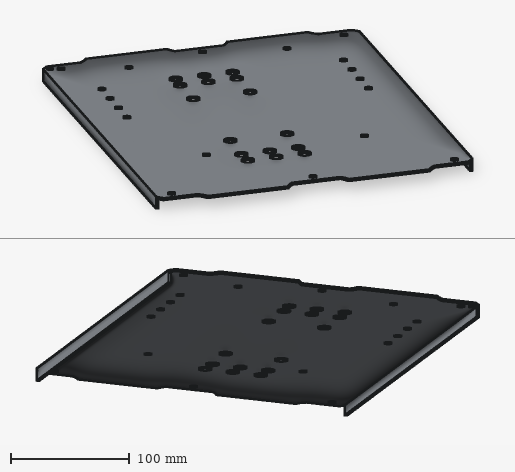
import cadquery as cq

LENGTH = 330.0
WIDTH = 280.0
HEIGHT = 11.0
SHEET_THICKNESS = 2.0

NECK_LENGTH = 316.5
CORNER_CHAMFER = 5.0
TAB_OUTER_Y = 98.0
TAB_INNER_Y = 26.7
OUTER_STEP_RUN = 7.3
INNER_STEP_RUN = 5.3
STEP_RADIUS = 19.8

FLANGE_LENGTH = NECK_LENGTH - 2 * CORNER_CHAMFER

SCREW_DIAMETER = 6.0
EDGE_HOLE_X = 149.8
EDGE_HOLE_Y = 125.0
MOUNT_LEFT_X = -135.0
MOUNT_RIGHT_X = 75.0
MOUNT_Y = 70.0
ROW_FIRST_X = -95.0
ROW_LENGTH = 67.5
ROW_COUNT = 4
ROW_PITCH = ROW_LENGTH / (ROW_COUNT - 1)
ROW_Y = 107.0

MARKER_DIAMETER = 5.0
MARKER_X = -152.0
MARKER_Y = -134.0

CABLE_DIAMETER = 10.5
CABLE_PITCH = 25.0
CABLE_ROWS = 3
OUTER_COLUMN_X = 97.7
MIDDLE_COLUMN_X = 83.0
INNER_COLUMN_X = 50.0
CABLE_TOP_Y = 9.5
MIDDLE_COLUMN_TOP_Y = 8.5


def make_plate():
    """Top sheet with its upper face at Z = 0 and hollow curved steps into the notches."""
    tab_x = LENGTH / 2
    neck_x = NECK_LENGTH / 2
    edge_y = WIDTH / 2
    outer_y = TAB_OUTER_Y + OUTER_STEP_RUN
    inner_y = TAB_INNER_Y - INNER_STEP_RUN
    chamfer_x = neck_x - CORNER_CHAMFER
    chamfer_y = edge_y - CORNER_CHAMFER
    outline = (
        cq.Workplane("XY")
        .moveTo(chamfer_x, edge_y)
        .lineTo(neck_x, chamfer_y)
        .lineTo(neck_x, outer_y)
        .radiusArc((tab_x, TAB_OUTER_Y), -STEP_RADIUS)
        .lineTo(tab_x, TAB_INNER_Y)
        .radiusArc((neck_x, inner_y), -STEP_RADIUS)
        .lineTo(neck_x, -inner_y)
        .radiusArc((tab_x, -TAB_INNER_Y), -STEP_RADIUS)
        .lineTo(tab_x, -TAB_OUTER_Y)
        .radiusArc((neck_x, -outer_y), -STEP_RADIUS)
        .lineTo(neck_x, -chamfer_y)
        .lineTo(chamfer_x, -edge_y)
        .lineTo(0, -edge_y)
        .lineTo(0, edge_y)
        .close()
    )
    right_half = outline.extrude(-SHEET_THICKNESS)
    return right_half.union(right_half.mirror("YZ")).clean()


def make_flange(side):
    """Flange folded down along the +Y (side = 1) or -Y (side = -1) edge."""
    center_y = side * (WIDTH - SHEET_THICKNESS) / 2
    return (
        cq.Workplane("XY")
        .center(0, center_y)
        .rect(FLANGE_LENGTH, SHEET_THICKNESS)
        .extrude(-HEIGHT)
    )


def hole_cutters(points, diameter):
    return cq.Workplane("XY").pushPoints(points).circle(diameter / 2).extrude(-SHEET_THICKNESS)


def screw_points():
    points = [(x, y) for x in (-EDGE_HOLE_X, EDGE_HOLE_X) for y in (-EDGE_HOLE_Y, 0, EDGE_HOLE_Y)]
    points += [(x, y) for x in (MOUNT_LEFT_X, MOUNT_RIGHT_X) for y in (-MOUNT_Y, MOUNT_Y)]
    points += [(ROW_FIRST_X + i * ROW_PITCH, y) for i in range(ROW_COUNT) for y in (-ROW_Y, ROW_Y)]
    return points


def cable_points():
    """Two full columns of three holes and one inner column without its middle hole, per side."""
    points = []
    for side in (-1, 1):
        for row in range(CABLE_ROWS):
            points.append((side * OUTER_COLUMN_X, CABLE_TOP_Y - row * CABLE_PITCH))
            points.append((side * MIDDLE_COLUMN_X, MIDDLE_COLUMN_TOP_Y - row * CABLE_PITCH))
        for row in (0, CABLE_ROWS - 1):
            points.append((side * INNER_COLUMN_X, CABLE_TOP_Y - row * CABLE_PITCH))
    return points


result = (
    make_plate()
    .union(make_flange(1))
    .union(make_flange(-1))
    .cut(hole_cutters(screw_points(), SCREW_DIAMETER))
    .cut(hole_cutters(cable_points(), CABLE_DIAMETER))
    .cut(hole_cutters([(MARKER_X, MARKER_Y)], MARKER_DIAMETER))
)